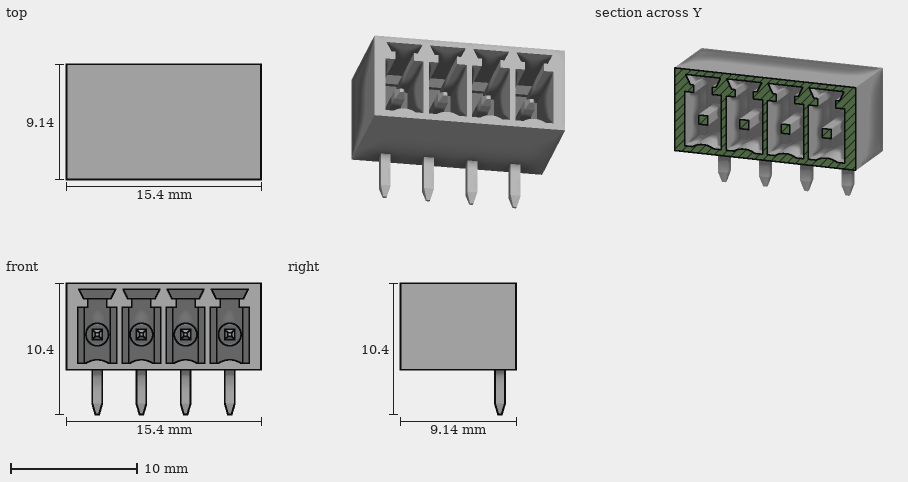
import cadquery as cq

BODY_LENGTH = 15.39
BODY_DEPTH = 9.14
BODY_HEIGHT = 6.85
POLE_COUNT = 4
PITCH = 3.5
POLE_SHIFT = -0.023

POCKET_WIDTH = 3.06
POCKET_FLOOR = 0.52
POCKET_TOP = 4.95
POCKET_DEPTH = 6.46
RECESS_WIDTH = 2.03
RECESS_DEPTH = 6.93

NECK_WIDTH = 1.51
FLARE_BOTTOM = 5.6
FLARE_TOP = 6.37
FLARE_BOTTOM_WIDTH = 2.14
FLARE_TOP_WIDTH = 2.91

RIB_WIDTH = 1.77
RIB_HEIGHT = 0.26

PIN_SIZE = 0.8
PIN_TIP_SIZE = 0.3
PIN_TAPER = 0.88
PIN_HEIGHT = 2.79
PIN_FRONT = 1.08
LEG_LENGTH = 3.55
LEG_SETBACK = 1.28
LEG_Y = BODY_DEPTH - LEG_SETBACK

BOSS_DIAMETER = 1.79
BOSS_HEIGHT = 0.31

POLE_POSITIONS = [(i - (POLE_COUNT - 1) / 2) * PITCH + POLE_SHIFT for i in range(POLE_COUNT)]


def front_plane(y=0.0):
    """Sketch plane with X right and Z up; positive extrusion runs toward -Y."""
    return cq.Workplane("XZ", origin=(0, y, 0))


def opening(width, bottom, top, depth):
    """Rectangular opening cut from the front face, centred on X."""
    block = cq.Workplane("XY").box(width, depth, top - bottom, centered=(True, False, False))
    return block.translate((0, 0, bottom))


def flared_slot():
    return (
        front_plane()
        .moveTo(-FLARE_BOTTOM_WIDTH / 2, FLARE_BOTTOM)
        .lineTo(FLARE_BOTTOM_WIDTH / 2, FLARE_BOTTOM)
        .lineTo(FLARE_TOP_WIDTH / 2, FLARE_TOP)
        .lineTo(-FLARE_TOP_WIDTH / 2, FLARE_TOP)
        .close()
        .extrude(-POCKET_DEPTH)
    )


def floor_rib():
    return (
        front_plane()
        .moveTo(-RIB_WIDTH / 2, POCKET_FLOOR)
        .threePointArc((0, POCKET_FLOOR + RIB_HEIGHT), (RIB_WIDTH / 2, POCKET_FLOOR))
        .close()
        .extrude(-RECESS_DEPTH)
    )


def pin_boss():
    return front_plane(RECESS_DEPTH).center(0, PIN_HEIGHT).circle(BOSS_DIAMETER / 2).extrude(BOSS_HEIGHT)


def pole_cavity():
    """Everything removed from the housing for one pole."""
    return (
        opening(POCKET_WIDTH, POCKET_FLOOR, POCKET_TOP, POCKET_DEPTH)
        .union(opening(RECESS_WIDTH, POCKET_FLOOR, POCKET_TOP, RECESS_DEPTH))
        .union(opening(NECK_WIDTH, POCKET_TOP, FLARE_BOTTOM, RECESS_DEPTH))
        .union(flared_slot())
        .cut(floor_rib())
        .cut(pin_boss())
    )


def tapered_bar(length):
    """Square bar rising from the origin along Z, ending in a blunt pyramid tip."""
    shank = cq.Workplane("XY").rect(PIN_SIZE, PIN_SIZE).extrude(length - PIN_TAPER)
    tip = (
        shank.faces(">Z")
        .workplane()
        .rect(PIN_SIZE, PIN_SIZE)
        .workplane(offset=PIN_TAPER)
        .rect(PIN_TIP_SIZE, PIN_TIP_SIZE)
        .loft(combine=False)
    )
    return shank.union(tip)


def angled_pin():
    """Contact blade pointing to the front, joined to a solder leg pointing down."""
    blade = tapered_bar(LEG_Y - PIN_FRONT).rotate((0, 0, 0), (1, 0, 0), 90)
    leg = tapered_bar(PIN_HEIGHT + LEG_LENGTH).rotate((0, 0, 0), (1, 0, 0), 180)
    return blade.union(leg).translate((0, LEG_Y, PIN_HEIGHT))


result = cq.Workplane("XY").box(BODY_LENGTH, BODY_DEPTH, BODY_HEIGHT, centered=(True, False, False))
for pole_x in POLE_POSITIONS:
    result = result.cut(pole_cavity().translate((pole_x, 0, 0)))
    result = result.union(angled_pin().translate((pole_x, 0, 0)))